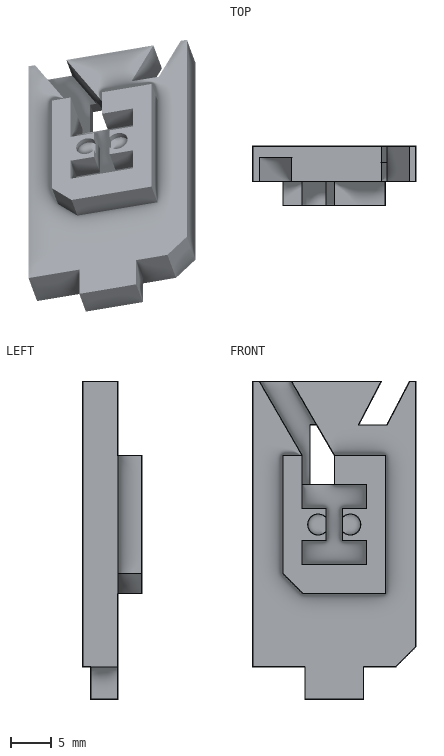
import cadquery as cq
import math

plate_width = 20.31
plate_depth = 4.4
plate_height = 35.5
plate_chamfer = 2.5

tab_width = 7.3
tab_left = (plate_width - tab_width) / 2
tab_depth = 3.4
tab_height = 4.06

frame_left = 3.77
frame_width = 12.75
frame_bottom = 9.1
frame_height = 17.2
frame_depth = 3.0
frame_chamfer = 2.5
frame_top = frame_bottom + frame_height

opening_x = plate_width / 2
opening_z = 17.7
opening_width = 8.0
opening_height = 10.0
flange_height = 3.0
web_width = 2.0
opening_left = opening_x - opening_width / 2
opening_top = opening_z + opening_height / 2

recess_radius = 1.3
recess_spacing = 4.0
recess_depth = 0.8

slot_width = 4.0
slot_depth = 3.0
slot_angle = math.radians(30)

notch_left = 13.2
notch_width = 3.5
notch_bottom = 30.1
notch_angle = math.radians(27.5)

pocket_left = 7.15
pocket_depth = 2.05
pocket_bottom = 21.85
pocket_right = notch_left + notch_width


def box(left, right, front, back, bottom, top):
    """Axis-aligned block between the given limits."""
    size = (right - left, back - front, top - bottom)
    return cq.Workplane("XY").box(*size, centered=False).translate((left, front, bottom))


def prism(points, front, back):
    """Closed (x, z) outline extruded from y = front to y = back."""
    profile = cq.Workplane("XZ", origin=(0, back, 0)).polyline(points).close()
    return profile.extrude(back - front)


def make_plate():
    plate = box(0, plate_width, 0, plate_depth, 0, plate_height)
    return plate.edges("|Y and >X and <Z").chamfer(plate_chamfer)


def make_tab():
    return box(tab_left, tab_left + tab_width, 0, tab_depth, -tab_height, 0)


def make_frame():
    frame = box(frame_left, frame_left + frame_width, -frame_depth, 0, frame_bottom, frame_top)
    return frame.edges("|Y and <X and <Z").chamfer(frame_chamfer)


def make_opening():
    opening_bottom = opening_z - opening_height / 2
    opening = box(
        opening_x - web_width / 2,
        opening_x + web_width / 2,
        -frame_depth,
        0,
        opening_bottom,
        opening_top,
    )
    for flange_bottom in (opening_bottom, opening_top - flange_height):
        flange = box(
            opening_left,
            opening_left + opening_width,
            -frame_depth,
            0,
            flange_bottom,
            flange_bottom + flange_height,
        )
        opening = opening.union(flange)
    return opening


def make_recesses():
    centers = [(opening_x + side * recess_spacing / 2, opening_z) for side in (-1, 1)]
    face = cq.Workplane("XZ", origin=(0, recess_depth - frame_depth, 0))
    return face.pushPoints(centers).circle(recess_radius).extrude(recess_depth)


def make_slot():
    slot_right = opening_left + slot_width
    lean = (plate_height - frame_top) * math.tan(slot_angle)
    outline = [
        (opening_left, opening_top),
        (slot_right, opening_top),
        (slot_right, frame_top),
        (slot_right - lean, plate_height),
        (opening_left - lean, plate_height),
        (opening_left, frame_top),
    ]
    return prism(outline, -frame_depth, slot_depth)


def make_notch():
    lean = (plate_height - notch_bottom) * math.tan(notch_angle)
    outline = [
        (notch_left, notch_bottom),
        (notch_left + notch_width, notch_bottom),
        (notch_left + notch_width + lean, plate_height),
        (notch_left + lean, plate_height),
    ]
    return prism(outline, 0, plate_depth)


def make_pocket():
    return box(
        pocket_left,
        pocket_right,
        plate_depth - pocket_depth,
        plate_depth,
        pocket_bottom,
        notch_bottom,
    )


frame = make_frame().cut(make_opening()).cut(make_recesses())
body = make_plate().union(make_tab()).union(frame)
result = body.cut(make_slot()).cut(make_notch()).cut(make_pocket())